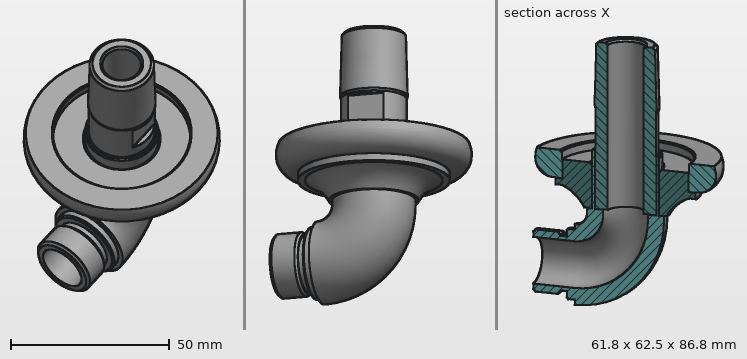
import cadquery as cq


bend_radius = 17.35
elbow_radius = 13.2
elbow_bore_radius = 7.55
elbow_shoulder_z = 19.0
shoulder_radius = 11.5
shoulder_chamfer = 0.5
spigot_top_z = 38.35
outlet_shoulder_length = 2.7
neck_radius = 9.0
neck_length = 2.2
outlet_radius = 10.2
outlet_length = 9.3
outlet_chamfer = 0.9

stem_radius = 10.4
stem_bore_radius = 6.1
stem_bore_chamfer = 0.7
cone_top_radius = 10.15
cone_bottom_radius = 10.7
stem_top_z = 73.6
stem_top_chamfer = 0.95
cone_bottom_z = 53.6
cone_band_height = 0.7
cone_undercut_height = 0.8
flat_half_width = 8.6
flat_bottom_z = 42.5
flat_top_z = 51.4

flange_radius = 23.9
flange_bottom_z = 25.5
flange_top_z = 27.8
flare_top_radius = 21.7
flare_middle_radius = 16.65
flare_middle_z = 22.4
flare_bottom_radius = 14.1
hub_radius = 21.6
hub_top_z = 34.0
flange_hole_chamfer = 0.7

ring_radius = 30.9
ring_round_radius = 6.1
ring_top_radius = 30.2
ring_top_z = 37.0
ring_bore_chamfer = 0.4


def revolve_profile(profile):
    """Turn an (r, z) profile once around the Z axis."""
    return profile.close().revolve(360, (0, 0, 0), (0, 1, 0))


def cylinder(radius, bottom_z, top_z):
    return cq.Workplane("XY").workplane(offset=bottom_z).circle(radius).extrude(top_z - bottom_z)


def bend(radius):
    """Quarter bend from the vertical axis to the horizontal outlet axis."""
    return (
        cq.Workplane("XY", origin=(0, 0, bend_radius))
        .circle(radius)
        .revolve(90, (0.9, -bend_radius, 0), (-0.9, -bend_radius, 0))
    )


def outlet_cylinder(radius, start, length):
    """Cylinder on the outlet axis, starting at the given distance from the pipe axis."""
    return cq.Workplane("XZ", origin=(0, -start, 0)).circle(radius).extrude(length)


def make_elbow():
    neck_start = bend_radius + outlet_shoulder_length
    outlet_start = neck_start + neck_length
    outlet_end = outlet_start + outlet_length

    shoulder = outlet_cylinder(shoulder_radius, bend_radius, outlet_shoulder_length)
    shoulder = shoulder.faces("<Y").chamfer(shoulder_chamfer)
    outlet = outlet_cylinder(outlet_radius, outlet_start, outlet_length)
    outlet = outlet.faces("<Y or >Y").chamfer(outlet_chamfer)
    spigot = cylinder(shoulder_radius, elbow_shoulder_z, spigot_top_z)
    spigot = spigot.faces(">Z").chamfer(shoulder_chamfer)

    body = (
        bend(elbow_radius)
        .union(cylinder(elbow_radius, bend_radius, elbow_shoulder_z))
        .union(spigot)
        .union(shoulder)
        .union(outlet_cylinder(neck_radius, neck_start, neck_length))
        .union(outlet)
    )
    return (
        body.cut(bend(elbow_bore_radius))
        .cut(outlet_cylinder(elbow_bore_radius, bend_radius, outlet_end - bend_radius))
        .cut(cylinder(elbow_bore_radius, bend_radius, elbow_shoulder_z))
        .cut(cylinder(stem_radius, elbow_shoulder_z, spigot_top_z))
    )


def make_stem():
    band_bottom_z = cone_bottom_z - cone_band_height
    stem = revolve_profile(
        cq.Workplane("XZ")
        .moveTo(stem_bore_radius, elbow_shoulder_z)
        .lineTo(stem_radius, elbow_shoulder_z)
        .lineTo(stem_radius, band_bottom_z - cone_undercut_height)
        .lineTo(cone_bottom_radius, band_bottom_z)
        .lineTo(cone_bottom_radius, cone_bottom_z)
        .lineTo(cone_top_radius, stem_top_z - stem_top_chamfer)
        .lineTo(cone_top_radius - stem_top_chamfer, stem_top_z)
        .lineTo(stem_bore_radius + stem_bore_chamfer, stem_top_z)
        .lineTo(stem_bore_radius, stem_top_z - stem_bore_chamfer)
    )
    flat_depth = stem_radius - flat_half_width
    for side in (-1, 1):
        notch = cq.Workplane("XY").box(2 * flat_depth, 2 * stem_radius, flat_top_z - flat_bottom_z)
        notch = notch.translate((side * stem_radius, 0, (flat_top_z + flat_bottom_z) / 2))
        stem = stem.cut(notch)
    return stem


def make_flange():
    return revolve_profile(
        cq.Workplane("XZ")
        .moveTo(shoulder_radius, elbow_shoulder_z)
        .lineTo(flare_bottom_radius, elbow_shoulder_z)
        .threePointArc((flare_middle_radius, flare_middle_z), (flare_top_radius, flange_bottom_z))
        .lineTo(flange_radius, flange_bottom_z)
        .lineTo(flange_radius, flange_top_z)
        .lineTo(hub_radius, flange_top_z)
        .lineTo(hub_radius, hub_top_z)
        .lineTo(shoulder_radius + flange_hole_chamfer, hub_top_z)
        .lineTo(shoulder_radius, hub_top_z - flange_hole_chamfer)
    )


def make_ring():
    widest_z = flange_top_z + ring_round_radius
    return revolve_profile(
        cq.Workplane("XZ")
        .moveTo(hub_radius, flange_top_z)
        .lineTo(ring_radius - ring_round_radius, flange_top_z)
        .radiusArc((ring_radius, widest_z), -ring_round_radius)
        .tangentArcPoint((ring_top_radius, ring_top_z), relative=False)
        .lineTo(hub_radius + ring_bore_chamfer, ring_top_z)
        .lineTo(hub_radius, ring_top_z - ring_bore_chamfer)
    )


elbow = make_elbow()
stem = make_stem()
flange = make_flange()
ring = make_ring()

result = cq.Compound.makeCompound(
    [elbow.solids().val(), stem.solids().val(), flange.val(), ring.val()]
)